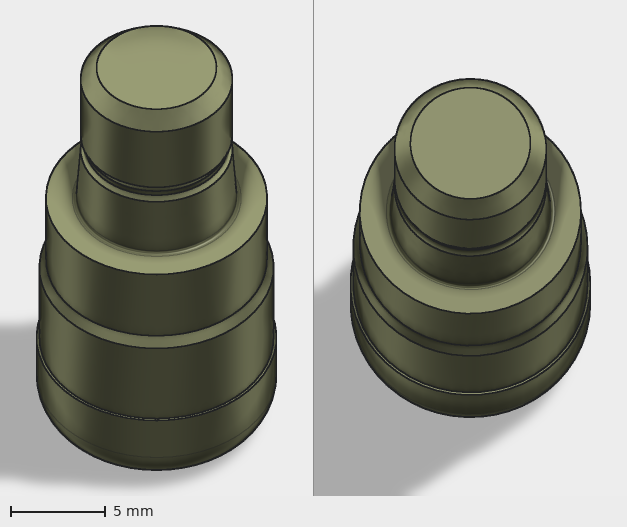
import cadquery as cq

total_height = 24.8

cap_radius = 6.35
cap_height = 4.95
cap_fillet = 2.25

main_radius = 6.2
main_top = 10.12
shoulder_radius = 5.85
shoulder_bottom = 10.71
shoulder_top = 15.23

root_radius = 4.46
root_height = 0.2
neck_bottom_radius = 4.25
neck_top = 18.8

groove_radius = 3.77
groove_bottom = 19.05
groove_top = 19.35

head_radius = 4.02
head_bottom = 19.86
head_chamfer = 0.85


def make_stud():
    """Revolve the stepped stud that stands on the cap."""
    profile = (
        cq.Workplane("XZ")
        .moveTo(0, cap_height)
        .lineTo(main_radius, cap_height)
        .lineTo(main_radius, main_top)
        .lineTo(shoulder_radius, shoulder_bottom)
        .lineTo(shoulder_radius, shoulder_top)
        .lineTo(root_radius, shoulder_top)
        .tangentArcPoint((neck_bottom_radius, shoulder_top + root_height), relative=False)
        .lineTo(head_radius, neck_top)
        .lineTo(groove_radius, groove_bottom)
        .lineTo(groove_radius, groove_top)
        .lineTo(head_radius, head_bottom)
        .lineTo(head_radius, total_height - head_chamfer)
        .lineTo(head_radius - head_chamfer, total_height)
        .lineTo(0, total_height)
        .close()
    )
    return profile.revolve(360, (0, 0, 0), (0, 1, 0))


def make_cap():
    """Solid cap with a large rounded lower edge."""
    blank = cq.Workplane("XY").circle(cap_radius).extrude(cap_height)
    return blank.faces("<Z").edges().fillet(cap_fillet)


stud = make_stud()
cap = make_cap()

result = cq.Compound.makeCompound([stud.val(), cap.val()])